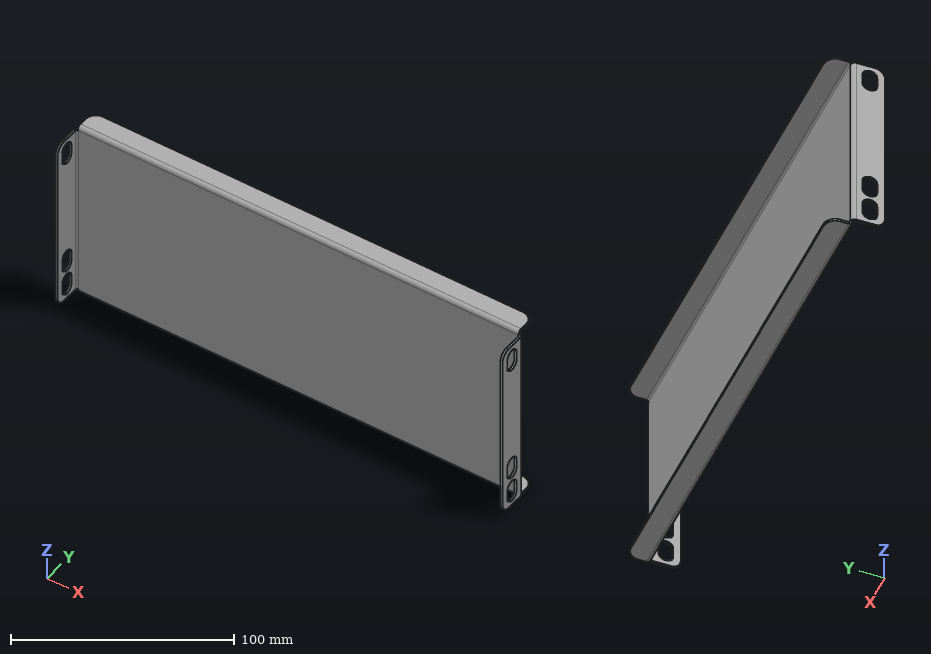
import cadquery as cq

length = 244.0
height = 100.0
depth = 26.8

sheet = 1.2
bend_outer = 2.2
bend_inner = bend_outer - sheet
rear_corner_radius = 5.9
ear_corner_radius = 5.0

rear_depth = 12.0
ear_front = rear_depth - depth
ear_height = 95.6
rear_flange_length = 240.5

slot_width = 7.3
slot_height = 11.7
slot_front_margin = 7.3
slot_heights = (39.3, -25.4, -39.3)


def make_channel():
    """Panel with its top and bottom flanges bent rearward."""
    outer = (
        cq.Workplane("XY")
        .box(rear_flange_length, rear_depth, height, centered=(True, False, True))
        .edges("|X and <Y")
        .fillet(bend_outer)
    )
    inner = (
        cq.Workplane("XY")
        .box(rear_flange_length, rear_depth, height - 2 * sheet, centered=(True, False, True))
        .edges("|X and <Y")
        .fillet(bend_inner)
        .translate((0, sheet, 0))
    )
    return outer.cut(inner).edges("|Z and >Y").fillet(rear_corner_radius)


def make_ears():
    """Side ears bent forward, joined by the full-width strip of the panel."""
    ear_depth = sheet - ear_front
    outer = (
        cq.Workplane("XY")
        .box(length, ear_depth, ear_height, centered=(True, False, True))
        .translate((0, ear_front, 0))
        .edges("|Z and >Y")
        .fillet(bend_outer)
    )
    inner = (
        cq.Workplane("XY")
        .box(length - 2 * sheet, ear_depth, ear_height, centered=(True, False, True))
        .translate((0, ear_front - sheet, 0))
        .edges("|Z and >Y")
        .fillet(bend_inner)
    )
    return outer.cut(inner).edges("|X and <Y").fillet(ear_corner_radius)


def make_slots():
    """Upright slot cutters passing through both ears."""
    centers = [(ear_front + slot_front_margin, z) for z in slot_heights]
    return (
        cq.Workplane("YZ")
        .pushPoints(centers)
        .slot2D(slot_height, slot_width, 90)
        .extrude(length, both=True)
    )


result = make_channel().union(make_ears()).cut(make_slots())